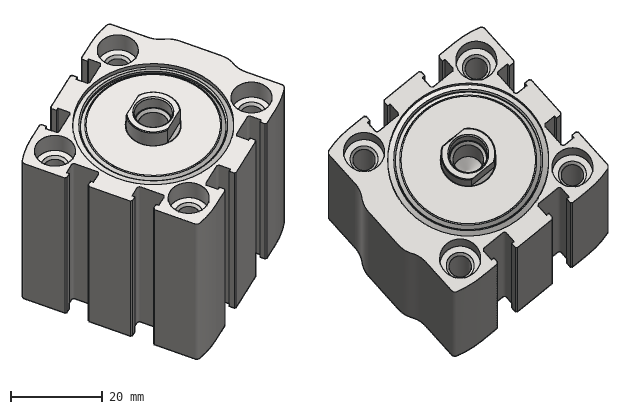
import cadquery as cq
import math

HALF_WIDTH = 22.5
CROWN_Y = 24.5
HOUSING_HEIGHT = 45.0
ROD_TOP = 49.0

FLANK_START = 15.4
FLANK_RADIUS = 22.5
CORNER_RADIUS = 1.0
CROWN_HALF_FLAT = 5.05
CROWN_HALF_BASE = 11.85

SLOT_OFFSET = 7.95
SLOT_OPENING = 5.15
SLOT_CHAMBER = 6.5
LIP_THICKNESS = 1.55
SLOT_DEPTH = 4.7
LIP_RADIUS = 0.3
CHAMBER_RADIUS = 0.6

FIXING_OFFSET = 16.2
FIXING_DIAMETER = 4.9
FIXING_CONE_DIAMETER = 6.12
COUNTERBORE_DIAMETER = 9.0
COUNTERBORE_DEPTH = 5.0

RECESS_DIAMETER = 35.4
RIM_DIAMETER = 32.75
GROOVE_ANGLE = 33.0
BORE_DIAMETER = 32.0
CAP_SHOULDER_DIAMETER = 30.1
CAP_FACE_DIAMETER = 29.5
CAP_DROP = 0.25
CAP_EDGE_DROP = 0.1
CAP_TAPER_ANGLE = 41.0
RIM_DROP = 0.25

ROD_DIAMETER = 12.0
ROD_CHAMFER = 0.2
ROD_EMBEDDED_LENGTH = 22.5
FLATS_WIDTH = 10.0
FLAT_RUNOUT_ANGLE = 32.0
SOCKET_CHAMFER = 0.15
ROD_MOUTH_DIAMETER = 9.0
ROD_HOLE_DIAMETER = 8.4
ROD_HOLE_DEPTH = 3.25
LEDGE_DIAMETER = 8.0
DRILL_DIAMETER = 6.65
DRILL_DEPTH = 12.0
DRILL_TIP_ANGLE = 118.0

CAP_FACE_Z = HOUSING_HEIGHT - CAP_DROP
ROD_BOTTOM = HOUSING_HEIGHT - ROD_EMBEDDED_LENGTH


def flank_drop():
    """Distance the flank arc falls inwards between its start and the face line."""
    run = HALF_WIDTH - FLANK_START
    return FLANK_RADIUS - math.sqrt(FLANK_RADIUS ** 2 - run ** 2)


def outline_prism():
    """Housing block with bowed corner flanks and the S-curved crown."""
    corner_x = HALF_WIDTH - flank_drop()
    crown_mid_x = (CROWN_HALF_FLAT + CROWN_HALF_BASE) / 2
    crown_mid_y = (CROWN_Y + HALF_WIDTH) / 2
    block = (
        cq.Workplane("XY")
        .moveTo(0, -HALF_WIDTH)
        .lineTo(corner_x, -HALF_WIDTH)
        .radiusArc((HALF_WIDTH, -FLANK_START), -FLANK_RADIUS)
        .lineTo(HALF_WIDTH, FLANK_START)
        .radiusArc((corner_x, HALF_WIDTH), -FLANK_RADIUS)
        .lineTo(CROWN_HALF_BASE, HALF_WIDTH)
        .tangentArcPoint((crown_mid_x, crown_mid_y), relative=False)
        .tangentArcPoint((CROWN_HALF_FLAT, CROWN_Y), relative=False)
        .lineTo(0, CROWN_Y)
        .mirrorY()
        .extrude(HOUSING_HEIGHT)
    )
    for y in (-HALF_WIDTH, HALF_WIDTH):
        for x in (-corner_x, corner_x):
            corner = cq.selectors.NearestToPointSelector((x, y, HOUSING_HEIGHT / 2))
            block = block.edges("|Z").edges(corner).fillet(CORNER_RADIUS)
    return block


def t_slot():
    """Cutter for one T-slot in the -Y face, centred on X = 0."""
    face_y = -HALF_WIDTH
    half_opening = SLOT_OPENING / 2
    chamber_depth = SLOT_DEPTH - LIP_THICKNESS
    chamber = (
        cq.Workplane("XY")
        .center(0, face_y + LIP_THICKNESS + chamber_depth / 2)
        .rect(SLOT_CHAMBER, chamber_depth)
        .extrude(HOUSING_HEIGHT)
        .edges("|Z and >Y")
        .fillet(CHAMBER_RADIUS)
    )
    throat = (
        cq.Workplane("XY")
        .moveTo(-half_opening - LIP_RADIUS, face_y)
        .radiusArc((-half_opening, face_y + LIP_RADIUS), LIP_RADIUS)
        .lineTo(-half_opening, face_y + LIP_THICKNESS)
        .lineTo(half_opening, face_y + LIP_THICKNESS)
        .lineTo(half_opening, face_y + LIP_RADIUS)
        .radiusArc((half_opening + LIP_RADIUS, face_y), LIP_RADIUS)
        .close()
        .extrude(HOUSING_HEIGHT)
    )
    return chamber.union(throat)


def fixing_hole():
    """Cutter for one through hole with a conical step and a counterbore."""
    floor_z = HOUSING_HEIGHT - COUNTERBORE_DEPTH
    cone_depth = (FIXING_CONE_DIAMETER - FIXING_DIAMETER) / 2
    return (
        cq.Workplane("XZ")
        .moveTo(0, 0)
        .lineTo(FIXING_DIAMETER / 2, 0)
        .lineTo(FIXING_DIAMETER / 2, floor_z - cone_depth)
        .lineTo(FIXING_CONE_DIAMETER / 2, floor_z)
        .lineTo(COUNTERBORE_DIAMETER / 2, floor_z)
        .lineTo(COUNTERBORE_DIAMETER / 2, HOUSING_HEIGHT)
        .lineTo(0, HOUSING_HEIGHT)
        .close()
        .revolve(360, (0, 0), (0, 1))
    )


def cap_recess():
    """Cutter above the end cap: sloped outer groove, rim, bore gap and cap face."""
    recess_r = RECESS_DIAMETER / 2
    rim_r = RIM_DIAMETER / 2
    bore_r = BORE_DIAMETER / 2
    shoulder_r = CAP_SHOULDER_DIAMETER / 2
    rim_z = HOUSING_HEIGHT - RIM_DROP
    shoulder_z = CAP_FACE_Z - CAP_EDGE_DROP
    groove_height = (recess_r - rim_r) * math.tan(math.radians(GROOVE_ANGLE))
    taper_height = (bore_r - shoulder_r) * math.tan(math.radians(CAP_TAPER_ANGLE))
    return (
        cq.Workplane("XZ")
        .moveTo(0, HOUSING_HEIGHT)
        .lineTo(recess_r, HOUSING_HEIGHT)
        .lineTo(recess_r, rim_z - groove_height)
        .lineTo(rim_r, rim_z)
        .lineTo(bore_r, rim_z - (rim_r - bore_r))
        .lineTo(bore_r, shoulder_z - taper_height)
        .lineTo(shoulder_r, shoulder_z)
        .lineTo(CAP_FACE_DIAMETER / 2, CAP_FACE_Z)
        .lineTo(0, CAP_FACE_Z)
        .close()
        .revolve(360, (0, 0), (0, 1))
    )


def rod_socket():
    """Cutter for the blind socket that holds the rod, chamfered at the cap face."""
    rod_r = ROD_DIAMETER / 2
    mouth_r = rod_r + SOCKET_CHAMFER
    return (
        cq.Workplane("XZ")
        .moveTo(0, ROD_BOTTOM)
        .lineTo(rod_r, ROD_BOTTOM)
        .lineTo(rod_r, CAP_FACE_Z - SOCKET_CHAMFER)
        .lineTo(mouth_r, CAP_FACE_Z)
        .lineTo(0, CAP_FACE_Z)
        .close()
        .revolve(360, (0, 0), (0, 1))
    )


def make_housing():
    """Housing with T-slots on three faces, fixing holes, cap groove and rod socket."""
    housing = outline_prism()
    slot = t_slot()
    for face_angle in (-90, 0, 90):
        for offset in (-SLOT_OFFSET, SLOT_OFFSET):
            placed = slot.translate((offset, 0, 0)).rotate((0, 0, 0), (0, 0, 1), face_angle)
            housing = housing.cut(placed)
    hole = fixing_hole()
    for x in (-FIXING_OFFSET, FIXING_OFFSET):
        for y in (-FIXING_OFFSET, FIXING_OFFSET):
            housing = housing.cut(hole.translate((x, y, 0)))
    return housing.cut(cap_recess()).cut(rod_socket())


def rod_hole():
    """Cutter for the stepped blind hole in the rod end, with a conical tip."""
    mouth_r = ROD_MOUTH_DIAMETER / 2
    hole_r = ROD_HOLE_DIAMETER / 2
    drill_r = DRILL_DIAMETER / 2
    ledge_r = LEDGE_DIAMETER / 2
    step_z = ROD_TOP - ROD_HOLE_DEPTH
    drill_z = ROD_TOP - DRILL_DEPTH
    tip_height = drill_r / math.tan(math.radians(DRILL_TIP_ANGLE / 2))
    return (
        cq.Workplane("XZ")
        .moveTo(0, ROD_TOP)
        .lineTo(mouth_r, ROD_TOP)
        .lineTo(hole_r, ROD_TOP - (mouth_r - hole_r))
        .lineTo(hole_r, step_z)
        .lineTo(ledge_r, step_z)
        .lineTo(drill_r, step_z - (ledge_r - drill_r))
        .lineTo(drill_r, drill_z)
        .lineTo(0, drill_z - tip_height)
        .close()
        .revolve(360, (0, 0), (0, 1))
    )


def wrench_flat():
    """Cutter for the +X wrench flat, running out at a slope below the cap face."""
    flat_x = FLATS_WIDTH / 2
    rod_r = ROD_DIAMETER / 2
    runout_height = (rod_r - flat_x) * math.tan(math.radians(FLAT_RUNOUT_ANGLE))
    return (
        cq.Workplane("XZ")
        .moveTo(flat_x, ROD_TOP)
        .lineTo(flat_x, CAP_FACE_Z)
        .lineTo(rod_r, CAP_FACE_Z - runout_height)
        .lineTo(rod_r, ROD_TOP)
        .close()
        .extrude(rod_r, both=True)
    )


def make_rod():
    """Piston rod seated in the socket, with opposite wrench flats and an end hole."""
    rod = (
        cq.Workplane("XY")
        .workplane(offset=ROD_BOTTOM)
        .circle(ROD_DIAMETER / 2)
        .extrude(ROD_TOP - ROD_BOTTOM)
        .faces(">Z")
        .chamfer(ROD_CHAMFER)
    )
    flat = wrench_flat()
    return rod.cut(flat).cut(flat.mirror("YZ")).cut(rod_hole())


housing = make_housing()
rod = make_rod()

result = cq.Compound.makeCompound([housing.solids().val(), rod.solids().val()])